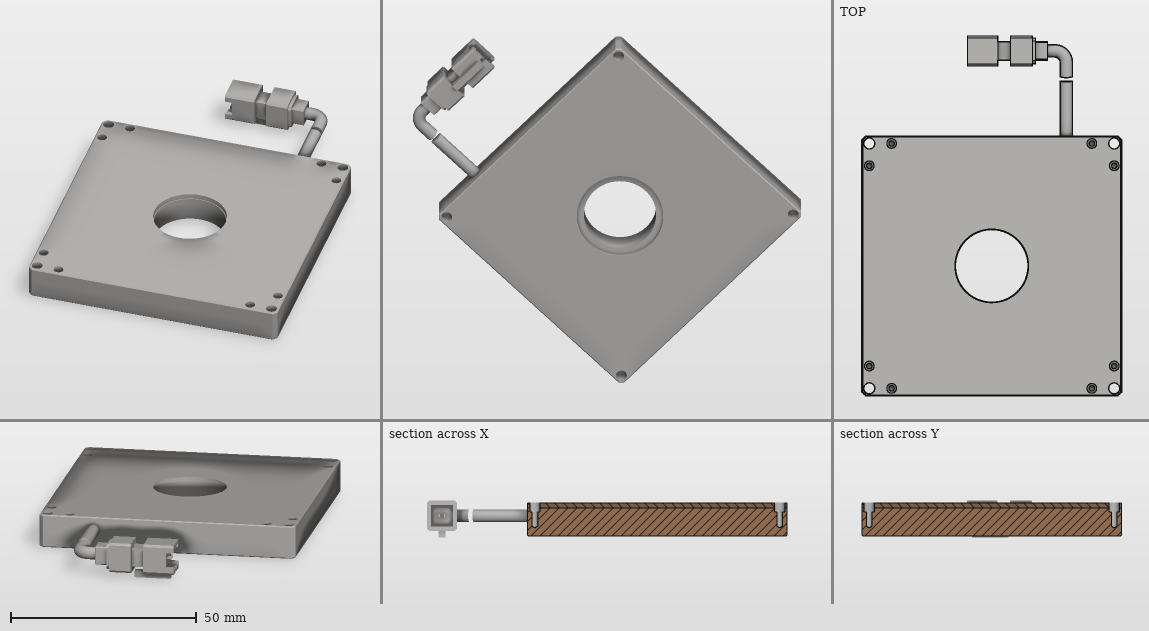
import cadquery as cq
import math

PLATE_SIDE = 70.0
PLATE_HEIGHT = 9.0
COVER_THICKNESS = 1.5
COVER_BOTTOM = PLATE_HEIGHT - COVER_THICKNESS
CORNER_CHAMFER = 1.1
RIM_CHAMFER = 0.3
BORE_DIAMETER = 19.5
COVER_BORE_DIAMETER = 19.9
UNDERSIDE_RECESS_DIAMETER = 23.3
UNDERSIDE_RECESS_DEPTH = 1.0

HOLE_EDGE_OFFSET = 33.0
SCREW_SIDE_OFFSET = 27.0
MOUNT_HOLE_DIAMETER = 2.9
SCREW_HEAD_DIAMETER = 2.6
SCREW_HEAD_DEPTH = 2.4
SCREW_PILOT_DIAMETER = 1.5
SCREW_PILOT_DEPTH = 3.9
DRILL_TIP_ANGLE = 118

CONNECTOR_SIDE = 8.1
CONNECTOR_TOP = 9.5
PART_LENGTH = 97.0
AXIS_Y = PART_LENGTH - PLATE_SIDE / 2 - CONNECTOR_SIDE / 2
AXIS_Z = CONNECTOR_TOP - CONNECTOR_SIDE / 2
CONNECTOR_EDGE = 0.6
CONNECTOR_BOTTOM = CONNECTOR_TOP - CONNECTOR_SIDE
NECK_SIDE = 5.0

SOCKET_START = -6.6
SOCKET_LENGTH = 8.2
SOCKET_END = SOCKET_START + SOCKET_LENGTH
CAVITY_SIDE = 5.8
CAVITY_DEPTH = 5.8
SIDE_SLOT_HEIGHT = 4.1
SIDE_SLOT_LENGTH = 2.0
KEY_SLOT_WIDTH = 1.2
KEY_SLOT_LENGTH = 1.4
RIB_START = SOCKET_START + KEY_SLOT_LENGTH
RIB_END = 4.6
RIB_WIDTH = 1.8
RIB_BOTTOM = -0.5
PIN_PITCH = 1.5
PIN_WIDTH = 0.4
PIN_HEIGHT = 0.9
PIN_LENGTH = 4.85

PLUG_START = 5.0
PLUG_LENGTH = 5.9
PLUG_END = PLUG_START + PLUG_LENGTH

COLLAR_SIDE = 7.0
COLLAR_LENGTH = 0.9
COLLAR_EDGE = 0.9
BOSS_LENGTH = 3.2
BOSS_EDGE = 0.3
RELIEF_END = PLUG_END + COLLAR_LENGTH + BOSS_LENGTH

CABLE_DIAMETER = 3.4
CABLE_X = 20.1
BEND_RADIUS = 3.1
CABLE_CUT_Y = 50.9
STUB_END_Y = 49.8
BREAK_RADIUS = 5.3


def plate_slab(bottom, height, rim):
    """Square slab with chamfered corners and one chamfered rim."""
    slab = cq.Workplane().box(PLATE_SIDE, PLATE_SIDE, height, centered=(True, True, False))
    slab = slab.translate((0, 0, bottom))
    return slab.edges("|Z").chamfer(CORNER_CHAMFER).faces(rim).chamfer(RIM_CHAMFER)


def vertical_cylinders(points, diameter, bottom, top):
    return cq.Workplane(origin=(0, 0, bottom)).pushPoints(points).circle(diameter / 2).extrude(top - bottom)


def drill_plate(slab):
    """Cut the corner mounting holes and the counterbored screw holes."""
    signs = [(sx, sy) for sx in (-1, 1) for sy in (-1, 1)]
    mounts = [(sx * HOLE_EDGE_OFFSET, sy * HOLE_EDGE_OFFSET) for sx, sy in signs]
    screws = [(sx * HOLE_EDGE_OFFSET, sy * SCREW_SIDE_OFFSET) for sx, sy in signs]
    screws += [(sx * SCREW_SIDE_OFFSET, sy * HOLE_EDGE_OFFSET) for sx, sy in signs]
    head_floor = PLATE_HEIGHT - SCREW_HEAD_DEPTH
    slab = slab.cut(vertical_cylinders(mounts, MOUNT_HOLE_DIAMETER, 0, PLATE_HEIGHT))
    slab = slab.cut(vertical_cylinders(screws, SCREW_HEAD_DIAMETER, head_floor, PLATE_HEIGHT))
    pilot_floor = head_floor - SCREW_PILOT_DEPTH
    slab = slab.cut(vertical_cylinders(screws, SCREW_PILOT_DIAMETER, pilot_floor, head_floor))
    tip_radius = SCREW_PILOT_DIAMETER / 2
    tip_depth = tip_radius / math.tan(math.radians(DRILL_TIP_ANGLE / 2))
    for x, y in screws:
        tip = cq.Solid.makeCone(tip_radius, 0, tip_depth, cq.Vector(x, y, pilot_floor), cq.Vector(0, 0, -1))
        slab = slab.cut(cq.Workplane(tip))
    return slab


def make_housing():
    housing = plate_slab(0, COVER_BOTTOM, "<Z")
    housing = housing.cut(vertical_cylinders([(0, 0)], BORE_DIAMETER, 0, PLATE_HEIGHT))
    housing = housing.cut(vertical_cylinders([(0, 0)], UNDERSIDE_RECESS_DIAMETER, 0, UNDERSIDE_RECESS_DEPTH))
    return drill_plate(housing)


def make_cover():
    cover = plate_slab(COVER_BOTTOM, COVER_THICKNESS, ">Z")
    cover = cover.cut(vertical_cylinders([(0, 0)], COVER_BORE_DIAMETER, 0, PLATE_HEIGHT))
    return drill_plate(cover)


def axis_block(start, length, width, height=None):
    """Box that starts at X = start and is centred on the connector axis."""
    block = cq.Workplane().box(length, width, height or width, centered=(False, True, True))
    return block.translate((start, AXIS_Y, AXIS_Z))


def connector_shell(start, length):
    return axis_block(start, length, CONNECTOR_SIDE).edges("|X").chamfer(CONNECTOR_EDGE)


def make_socket():
    """Open-ended shell with side slots, two contact pins and a rib along its underside."""
    socket = connector_shell(SOCKET_START, SOCKET_LENGTH)
    socket = socket.cut(axis_block(SOCKET_START, CAVITY_DEPTH, CAVITY_SIDE))
    socket = socket.cut(axis_block(SOCKET_START, SIDE_SLOT_LENGTH, CONNECTOR_SIDE, SIDE_SLOT_HEIGHT))
    key_slot = axis_block(SOCKET_START, KEY_SLOT_LENGTH, KEY_SLOT_WIDTH, CONNECTOR_SIDE / 2)
    socket = socket.cut(key_slot.translate((0, 0, -CONNECTOR_SIDE / 4)))
    rib_height = CONNECTOR_BOTTOM - RIB_BOTTOM
    rib = cq.Workplane().box(RIB_END - RIB_START, RIB_WIDTH, rib_height, centered=(False, True, False))
    socket = socket.union(rib.translate((RIB_START, AXIS_Y, RIB_BOTTOM)))
    pin_start = SOCKET_START + CAVITY_DEPTH - PIN_LENGTH
    for side in (-1, 1):
        pin = axis_block(pin_start, PIN_LENGTH, PIN_WIDTH, PIN_HEIGHT)
        socket = socket.union(pin.translate((0, side * PIN_PITCH / 2, 0)))
    return socket.clean()


def make_plug():
    """Square block with a narrower neck that butts against the socket."""
    neck = axis_block(SOCKET_END, PLUG_START - SOCKET_END, NECK_SIDE)
    return connector_shell(PLUG_START, PLUG_LENGTH).union(neck)


def make_strain_relief():
    """Thin collar and smaller boss between the plug and the cable."""
    collar = axis_block(PLUG_END, COLLAR_LENGTH, COLLAR_SIDE).edges("|X").chamfer(COLLAR_EDGE)
    boss = axis_block(PLUG_END + COLLAR_LENGTH, BOSS_LENGTH, NECK_SIDE).edges("|X").chamfer(BOSS_EDGE)
    return collar.union(boss)


def break_cutter(crown_y):
    """Cylinder along X whose side reaches its highest Y at the cable axis."""
    cutter = cq.Workplane("YZ").circle(BREAK_RADIUS).extrude(CABLE_DIAMETER / 2, both=True)
    return cutter.translate((CABLE_X, crown_y - BREAK_RADIUS, AXIS_Z))


def make_cable():
    """Cable from the strain relief round a right-angle bend to a hollowed broken end."""
    bend_start = CABLE_X - BEND_RADIUS
    bend_end = AXIS_Y - BEND_RADIUS
    diagonal = BEND_RADIUS * math.sqrt(0.5)
    path = (
        cq.Workplane("XY", origin=(0, 0, AXIS_Z))
        .moveTo(RELIEF_END, AXIS_Y)
        .lineTo(bend_start, AXIS_Y)
        .threePointArc((bend_start + diagonal, bend_end + diagonal), (CABLE_X, bend_end))
        .lineTo(CABLE_X, CABLE_CUT_Y - CABLE_DIAMETER / 2)
    )
    cable = cq.Workplane("YZ", origin=(RELIEF_END, AXIS_Y, AXIS_Z)).circle(CABLE_DIAMETER / 2).sweep(path)
    return cable.cut(break_cutter(CABLE_CUT_Y))


def make_cable_stub():
    """Straight cable piece from the plate edge to a domed broken end."""
    plate_edge = PLATE_SIDE / 2
    stub = cq.Workplane("XZ", origin=(CABLE_X, plate_edge, AXIS_Z)).circle(CABLE_DIAMETER / 2)
    stub = stub.extrude(plate_edge - STUB_END_Y)
    straight_length = STUB_END_Y - BREAK_RADIUS - plate_edge
    straight = cq.Workplane().box(
        CABLE_DIAMETER, straight_length, CABLE_DIAMETER, centered=(True, False, True)
    )
    straight = straight.translate((CABLE_X, plate_edge, AXIS_Z))
    return stub.intersect(break_cutter(STUB_END_Y).union(straight))


housing = make_housing()
cover = make_cover()
socket = make_socket()
plug = make_plug()
strain_relief = make_strain_relief()
cable = make_cable()
cable_stub = make_cable_stub()

result = cq.Compound.makeCompound(
    [
        housing.val(),
        cover.val(),
        socket.val(),
        plug.val(),
        strain_relief.val(),
        cable.val(),
        cable_stub.val(),
    ]
)